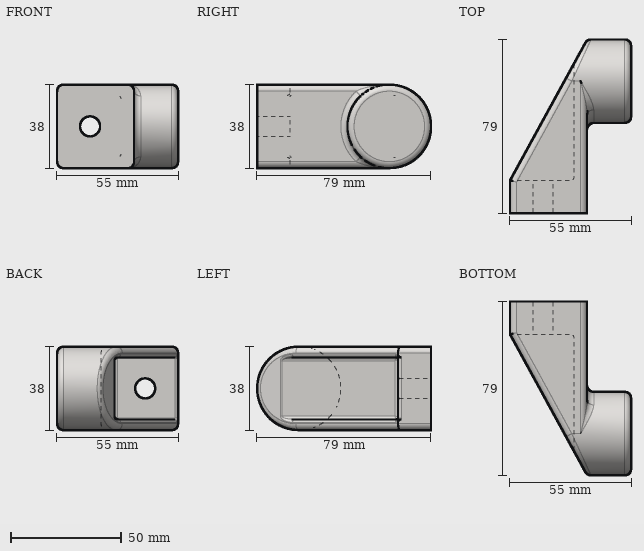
import cadquery as cq
height = 38.0
boss_radius = height / 2
boss_center_y = 60.0
boss_end_x = 55.0

arm_width = 35.0
arm_end_y = boss_center_y + boss_radius
foot_length = 15.0
slope = arm_width / (arm_end_y - foot_length)

hole_diameter = 9.0
hole_x = 15.0

side_wall = 5.0
back_wall = 6.0
pocket_floor_x = arm_width - back_wall
pocket_height = height - 2 * side_wall
pocket_end_y = foot_length + pocket_floor_x / slope

outer_radius = 3.0
pocket_radius = 1.5
pocket_corner_radius = 0.5

clearance = 15.0
tolerance = 0.01


def slope_x(y):
    """X of the sloped side at a given Y; zero along the foot."""
    return slope * max(0, y - foot_length)


def lies_on_sloped_side(edge):
    """True if the whole edge lies on the slope or on the foot face below it."""
    points = [edge.startPoint(), edge.positionAt(0.5), edge.endPoint()]
    return all(abs(point.x - slope_x(point.y)) < tolerance for point in points)


def arm_plate():
    plate = cq.Workplane("XY").box(arm_width, boss_center_y, height, centered=(False, False, True))
    return plate.edges("|Y and >X").fillet(outer_radius)


def boss_bar():
    return (
        cq.Workplane("YZ")
        .moveTo(boss_center_y, -boss_radius)
        .threePointArc((boss_center_y - boss_radius, 0), (boss_center_y, boss_radius))
        .threePointArc((arm_end_y, 0), (boss_center_y, -boss_radius))
        .close()
        .extrude(boss_end_x)
    )


def slope_cutter():
    """Everything on the -X side of the slope."""
    top_y = arm_end_y + clearance
    return (
        cq.Workplane("XY")
        .workplane(offset=-height)
        .polyline([(0, foot_length), (0, top_y), (slope_x(top_y), top_y)])
        .close()
        .extrude(2 * height)
    )


def pocket_cutter():
    """Block with rounded foot-side corners and a rounded floor, open at its shallow end."""
    block = cq.Workplane("XY").box(
        pocket_floor_x + clearance,
        arm_end_y - foot_length,
        pocket_height,
        centered=(False, False, True),
    )
    block = block.translate((-clearance, foot_length, 0))
    block = block.edges("|X and <Y").fillet(pocket_corner_radius)
    return block.faces(">X").edges().fillet(pocket_radius)


def is_pocket_rim(edge):
    middle = edge.Center()
    above_foot_wall = foot_length - tolerance < middle.y < pocket_end_y + tolerance
    inside_walls = abs(middle.z) < pocket_height / 2 + tolerance
    return above_foot_wall and inside_walls and lies_on_sloped_side(edge)


def round_pocket_rim(body):
    """Round the whole mouth of the pocket."""
    rim = [edge for edge in body.edges().vals() if is_pocket_rim(edge)]
    return body.newObject(rim).fillet(pocket_radius)


def is_outer_edge(edge):
    """Outside edges of the sloped side, the neck of the boss and the boss end."""
    middle = edge.positionAt(0.5)
    on_neck = (
        edge.geomType() in ("CIRCLE", "BSPLINE")
        and arm_width - outer_radius < middle.x < arm_width + tolerance
        and middle.y < boss_center_y
        and edge.BoundingBox().ymin > tolerance
    )
    on_boss_end = edge.geomType() == "CIRCLE" and abs(middle.x - boss_end_x) < tolerance
    from_boss_axis = ((middle.y - boss_center_y) ** 2 + middle.z**2) ** 0.5
    on_side = abs(abs(middle.z) - height / 2) < tolerance
    on_outline = on_side or abs(from_boss_axis - boss_radius) < tolerance
    return on_neck or on_boss_end or (on_outline and lies_on_sloped_side(edge))


def round_outer_edges(body):
    outer = [edge for edge in body.edges().vals() if is_outer_edge(edge)]
    return body.newObject(outer).fillet(outer_radius)


def bolt_hole():
    return cq.Workplane("XZ").center(hole_x, 0).circle(hole_diameter / 2).extrude(-foot_length)


body = arm_plate().union(boss_bar()).cut(slope_cutter())
body = body.cut(pocket_cutter())
body = round_pocket_rim(body)
body = round_outer_edges(body)
result = body.cut(bolt_hole())